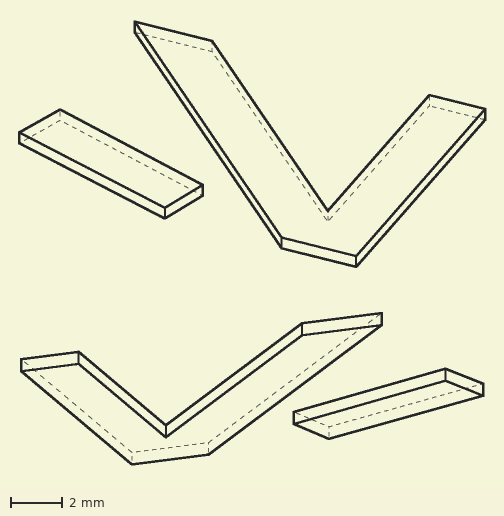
import cadquery as cq
import math

thickness = 0.5

bracket_height = 11.84
upright_leg_width = 2.4
leaning_leg_width = 2.35
foot_length = 3.2

overall_length = 15.68
bar_lower_left = (-overall_length, 2.62)
bar_upper_left = (-14.95, 4.81)
bar_upper_right = (-7.6, 2.18)
bar_lower_right = (-8.23, 0.04)


def make_plate(corners):
    """Extrude a closed outline with straight sides to the common thickness."""
    return cq.Workplane("XY").polyline(corners).close().extrude(thickness)


def make_bracket():
    leg_horizontal_width = leaning_leg_width * math.sqrt(2)
    outer_tip_x = -foot_length - bracket_height
    inner_tip_x = outer_tip_x + leg_horizontal_width
    crotch_x = -upright_leg_width
    crotch_y = bracket_height - (crotch_x - inner_tip_x)
    return make_plate(
        [
            (0, 0),
            (0, bracket_height),
            (crotch_x, bracket_height),
            (crotch_x, crotch_y),
            (inner_tip_x, bracket_height),
            (outer_tip_x, bracket_height),
            (-foot_length, 0),
        ]
    )


def make_bar():
    return make_plate([bar_lower_left, bar_lower_right, bar_upper_right, bar_upper_left])


bracket = make_bracket()
bar = make_bar()

result = cq.Compound.makeCompound([bracket.val(), bar.val()])